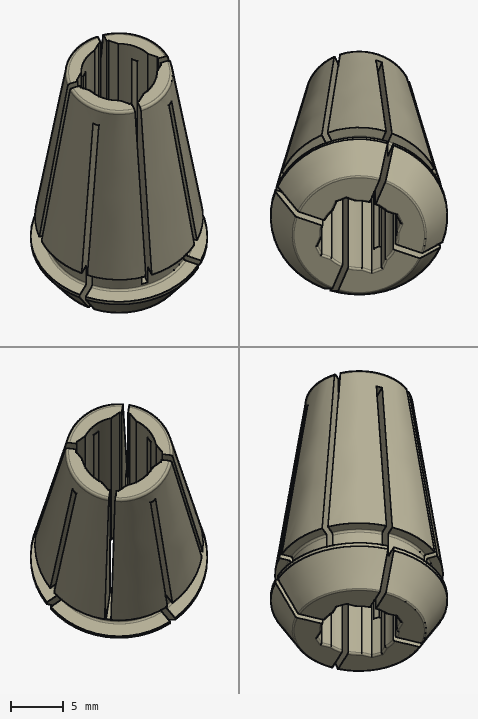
import cadquery as cq
import math

total_height = 27.5
collar_top = 4.0
collar_rim_height = 0.4
collar_rim_bottom = collar_top - collar_rim_height
taper_bottom = 6.7

collar_radius = 8.4
collar_half_angle = 30.0
base_radius = collar_radius - collar_rim_bottom * math.tan(math.radians(collar_half_angle))
groove_radius = 6.9
taper_large_radius = 8.0
taper_half_angle = 8.0
taper_height = total_height - taper_bottom
taper_small_radius = taper_large_radius - taper_height * math.tan(math.radians(taper_half_angle))

edge_fillet = 0.2
nose_fillet = 0.3

bore_diameter = 7.2
square_size = 6.5
square_across_corners = 8.2
square_corner_chamfer = square_size - square_across_corners / math.sqrt(2)

slot_width = 0.6
slot_length = 4 * collar_radius
nose_bridge = 2.0
base_slot_top = total_height - nose_bridge
nose_slot_bottom = 4.45
base_slot_angles = (0, 90)
nose_slot_angles = (45, 135)


def make_body():
    """Solid of revolution: tapered collar, groove and long clamping taper."""
    body = (
        cq.Workplane("XZ")
        .moveTo(0, 0)
        .lineTo(base_radius, 0)
        .lineTo(collar_radius, collar_rim_bottom)
        .lineTo(collar_radius, collar_top)
        .lineTo(groove_radius, collar_top)
        .lineTo(groove_radius, taper_bottom)
        .lineTo(taper_large_radius, taper_bottom)
        .lineTo(taper_small_radius, total_height)
        .lineTo(0, total_height)
        .close()
        .revolve(360, (0, 0, 0), (0, 1, 0))
    )
    groove_edge_rank = 2
    body = body.edges(cq.selectors.RadiusNthSelector(groove_edge_rank)).fillet(edge_fillet)
    return body.faces(">Z").edges().fillet(nose_fillet)


def make_bore():
    """Through bore: square with chamfered corners, widened by a round hole."""
    square = (
        cq.Workplane("XY")
        .rect(square_size, square_size)
        .extrude(total_height)
        .edges("|Z")
        .chamfer(square_corner_chamfer)
    )
    round_hole = cq.Workplane("XY").circle(bore_diameter / 2).extrude(total_height)
    return square.union(round_hole)


def make_slot(angle, bottom, top):
    """Narrow slot across the whole diameter, turned about the Z axis."""
    return (
        cq.Workplane("XY")
        .workplane(offset=bottom)
        .rect(slot_length, slot_width)
        .extrude(top - bottom)
        .rotate((0, 0, 0), (0, 0, 1), angle)
    )


result = make_body().cut(make_bore())
result = result.faces("<Z").edges().fillet(edge_fillet)
for slot_angle in base_slot_angles:
    result = result.cut(make_slot(slot_angle, 0, base_slot_top))
for slot_angle in nose_slot_angles:
    result = result.cut(make_slot(slot_angle, nose_slot_bottom, total_height))